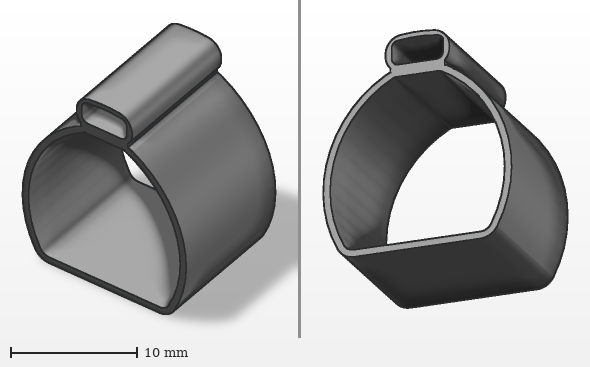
import cadquery as cq
import math

length = 12.0
overall_width = 16.09
overall_height = 18.39

wall = 0.6
side_radius = 10.65
bulge_height = 5.82
side_center_offset = side_radius - overall_width / 2
base_corner_radius = 1.6
roof_height = 14.78

tube_half_width = 2.73
tube_bottom = 15.12
tube_corner_radius = 1.5
tunnel_half_width = 2.2
tunnel_floor = 15.8
tunnel_roof_thickness = 0.42
tunnel_top = overall_height - tunnel_roof_thickness
tunnel_corner_radius = 0.6
crown_radius = 12.0

neck_half_width = 2.32
shoulder_height = 15.02
shoulder_rise = 0.22


def side_x(radius, z):
    """Half width of the loop at height z, for a side wall of the given radius."""
    return math.sqrt(radius**2 - (z - bulge_height) ** 2) - side_center_offset


def extrude_along_y(outline):
    return outline.close().extrude(length / 2, both=True)


def loop_body(radius, bottom, top, corner_radius, neck_points=()):
    """Prism with two bulging sides and a rounded flat bottom.

    The sides end at height top; neck_points continue the right half upward
    from there and are mirrored onto the left half.
    """
    bulge_x = radius - side_center_offset
    bottom_x = side_x(radius, bottom)
    top_x = side_x(radius, top)
    right_points = list(neck_points)
    left_points = [(-x, z) for x, z in reversed(right_points)]
    outline = (
        cq.Workplane("XZ")
        .moveTo(-bottom_x, bottom)
        .lineTo(bottom_x, bottom)
        .threePointArc((bulge_x, bulge_height), (top_x, top))
    )
    for point in right_points + left_points + [(-top_x, top)]:
        outline = outline.lineTo(*point)
    outline = outline.threePointArc((-bulge_x, bulge_height), (-bottom_x, bottom))
    return extrude_along_y(outline).faces("<Z").edges("|Y").fillet(corner_radius)


def tube_body(half_width, bottom, top, corner_radius):
    """Rounded rectangular prism with an arched top."""
    shoulder = top - crown_radius + math.sqrt(crown_radius**2 - half_width**2)
    outline = (
        cq.Workplane("XZ")
        .moveTo(-half_width, bottom)
        .lineTo(half_width, bottom)
        .lineTo(half_width, shoulder)
        .threePointArc((0, top), (-half_width, shoulder))
    )
    return extrude_along_y(outline).edges("|Y").fillet(corner_radius)


neck_points = [
    (neck_half_width, shoulder_height + shoulder_rise),
    (neck_half_width, tunnel_floor),
]
loop_outer = loop_body(side_radius, 0, shoulder_height, base_corner_radius, neck_points)
tube_outer = tube_body(tube_half_width, tube_bottom, overall_height, tube_corner_radius)

loop_opening = loop_body(side_radius - wall, wall, roof_height, base_corner_radius - wall)
tunnel = tube_body(tunnel_half_width, tunnel_floor, tunnel_top, tunnel_corner_radius)

result = loop_outer.union(tube_outer).cut(loop_opening).cut(tunnel)